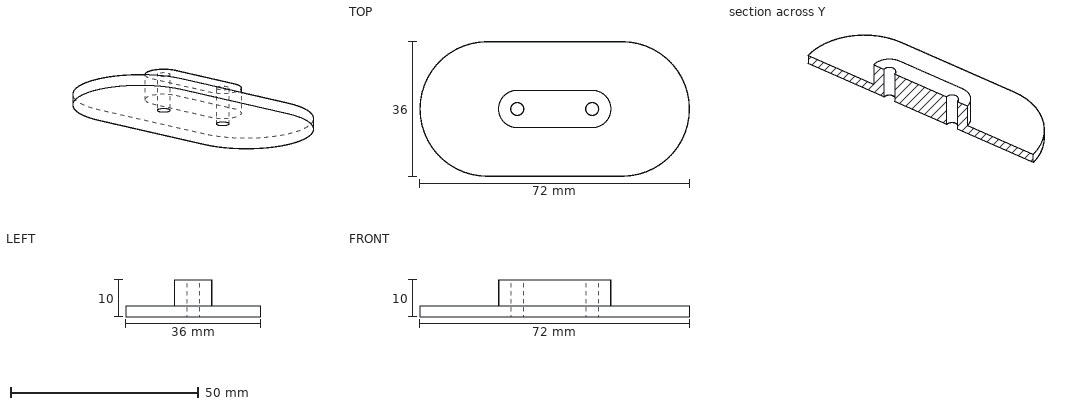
import cadquery as cq

plate_length = 72.0
plate_width = 36.0
plate_thickness = 3.0

total_height = 10.0
boss_width = 10.0
hole_spacing = 20.0
boss_length = hole_spacing + boss_width
boss_height = total_height - plate_thickness

hole_diameter = 3.4


def rounded_bar(length, width, height, base_z):
    """Upright bar with semicircular ends, long side along X."""
    return cq.Workplane("XY", origin=(0, 0, base_z)).slot2D(length, width).extrude(height)


def through_holes():
    """Cylinders that cut the pair of holes over the full height."""
    centres = [(-hole_spacing / 2, 0), (hole_spacing / 2, 0)]
    return cq.Workplane("XY").pushPoints(centres).circle(hole_diameter / 2).extrude(total_height)


plate = rounded_bar(plate_length, plate_width, plate_thickness, 0)
boss = rounded_bar(boss_length, boss_width, boss_height, plate_thickness)

result = plate.union(boss).cut(through_holes())